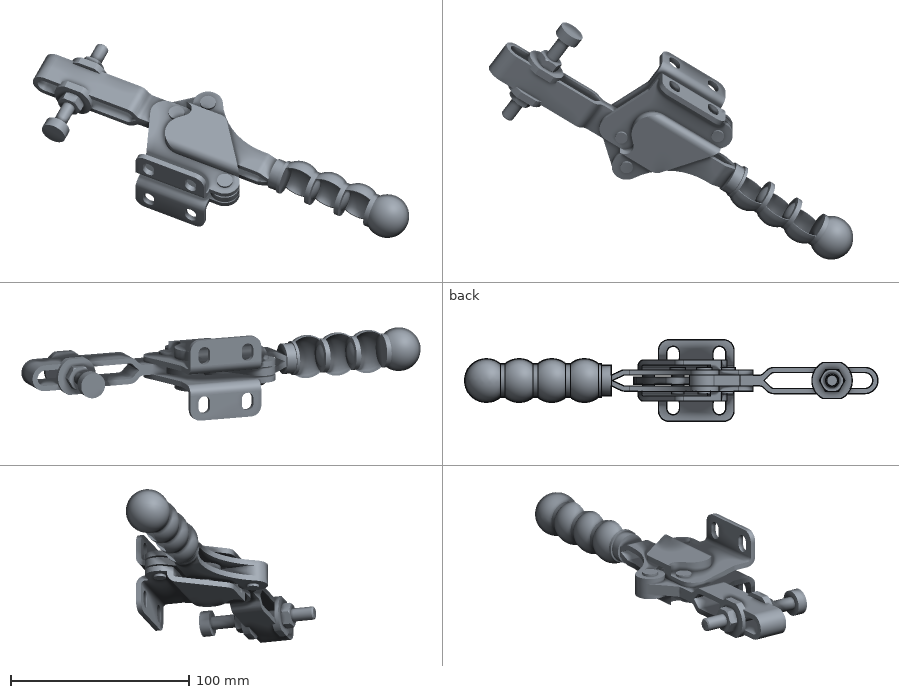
import cadquery as cq
import math


SHEET = 3.0
HALF_GAP = SHEET
PLATE_OUTER = HALF_GAP + SHEET
LUG_RADIUS = 8.3
RIVET_RADIUS = 3.5
RIVET_HEAD_RADIUS = 4.5
RIVET_PROTRUSION = 1.5
RIVET_HALF_LENGTH = PLATE_OUTER + RIVET_PROTRUSION

BAR_BASE_RIVET = (84.5, 46.8)
BAR_HANDLE_RIVET = (97.5, 60.8)
LINK_BASE_RIVET = (128.7, 15.8)
LINK_HANDLE_RIVET = (112.2, 37.8)

FLANGE_LEFT = 80.7
FLANGE_RIGHT = 123.1
FLANGE_HALF_WIDTH = 23.0
FLANGE_CORNER = 6.0
FLANGE_BEND_OUTER = 5.3
SLOT_SPACING = 26.0
SLOT_OFFSET = 14.1
SLOT_WIDTH = 7.0
SLOT_LENGTH = 10.0
BASE_TOP = 53.0
BASE_TOP_LEFT = 66.3
BASE_TOP_RIGHT = 112.0
BASE_LEFT_KNEE = 14.4
BASE_LEFT_CORNER = 8.3
BASE_RIGHT_CORNER = 5.8
BULGE_OUTER = 11.5
BULGE_BEND = 4.2
BULGE_CENTRE = (96.2, 33.5)
BULGE_RADIUS = 11.5
RELIEF_RADIUS = 4.9
RELIEF_CENTRE_Y = 48.2

BAR_BOTTOM = 37.0
BAR_TOP = 54.7
LOOP_RADIUS = 7.5
BAR_BEND_ANGLE = math.radians(45)
BAR_BEND_START = 60.8
BAR_BEND_END = BAR_BEND_START + (LOOP_RADIUS - SHEET) / math.tan(BAR_BEND_ANGLE)
BAR_OUTWARD_BEND = 6.0
BAR_INWARD_BEND = 4.0
BAR_SHOULDER = 77.5
SHOULDER_ROUNDING = 0.2
LOBE_CENTRE = (91.8, 39.5)
LOBE_RADIUS = 11.5

SPINDLE_X = 25.7
SPINDLE_RADIUS = 3.7
SPINDLE_TOP = 75.0
TIP_CHAMFER = 0.7
HEAD_BOTTOM = 9.3
HEAD_HEIGHT = 5.8
HEAD_RADIUS = 7.2
NUT_CORNERS = 14.4
NUT_HEIGHT = 5.0
NUT_CHAMFER = 0.7
WASHER_RADIUS = 11.4
WASHER_HALF_WIDTH = 10.2
WASHER_THICKNESS = 2.3
WASHER_LIP = 1.9

LINK_HALF_THICKNESS = 2.0

HANDLE_BOTTOM = 29.5
HANDLE_TOP = 43.5
HANDLE_NECK_RADIUS = 39.0
HANDLE_BEND_START = 143.0
HANDLE_BEND_OUTER = 4.9
HANDLE_STRAIGHT_END = 141.0

GRIP_START = 149.5
GRIP_Y = (HANDLE_BOTTOM + HANDLE_TOP) / 2
COLLAR_END = 155.1
COLLAR_RADIUS = 8.5
NECK_RADIUS = 9.5
BALL_RADIUS = 12.3
BALL_PITCH = 18.3
END_BALL_X = 219.5
FINGER_BALLS = 3
SHELL_WALL = 0.7
HALF_OPENING = math.sqrt(BALL_RADIUS**2 - NECK_RADIUS**2)


def disc(centre, radius, z_from, z_to):
    """Cylinder along Z between two heights."""
    return cq.Workplane("XY", origin=(*centre, z_from)).circle(radius).extrude(z_to - z_from)


def box(x_range, y_range, z_range):
    """Box given by its lower and upper limits along each axis."""
    size = [high - low for low, high in (x_range, y_range, z_range)]
    return cq.Workplane("XY", origin=(x_range[0], y_range[0], z_range[0])).box(*size, centered=False)


def both_sides(half):
    """Body on +Z together with its mirror image on -Z."""
    return half.union(half.mirror("XY"))


def hull_of_circles(first, first_radius, second, second_radius, z_from, z_to):
    """Plate whose outline wraps tightly around two circles."""
    dx = second[0] - first[0]
    dy = second[1] - first[1]
    heading = math.atan2(dy, dx)
    spread = math.acos((first_radius - second_radius) / math.hypot(dx, dy))

    def tangent_points(side):
        angle = heading + side * spread
        return [
            (centre[0] + radius * math.cos(angle), centre[1] + radius * math.sin(angle))
            for centre, radius in ((first, first_radius), (second, second_radius))
        ]

    left = tangent_points(1)
    right = tangent_points(-1)
    web = cq.Workplane("XY", origin=(0, 0, z_from))
    web = web.polyline([left[0], left[1], right[1], right[0]]).close().extrude(z_to - z_from)
    web = web.union(disc(first, first_radius, z_from, z_to))
    return web.union(disc(second, second_radius, z_from, z_to))


def round_edge(body, point, radius):
    """Round the edge whose middle is nearest to a point."""
    return body.edges(cq.selectors.NearestToPointSelector(point)).fillet(radius)


def rivet(centre):
    """Rivet through both sheets with a head on its +Z end."""
    shank = disc(centre, RIVET_RADIUS, -RIVET_HALF_LENGTH, RIVET_HALF_LENGTH)
    return shank.union(disc(centre, RIVET_HEAD_RADIUS, PLATE_OUTER, RIVET_HALF_LENGTH))


def base_plate_blank(z_from, z_to):
    """Side plate outline, from the mounting face to the top edge."""
    centre_x, centre_y = LINK_BASE_RIVET
    edge_x = centre_x - BASE_TOP_RIGHT
    edge_y = BASE_TOP - centre_y
    tangent = math.atan2(edge_y, -edge_x) - math.acos(LUG_RADIUS / math.hypot(edge_x, edge_y))
    lug_start = (centre_x + LUG_RADIUS * math.cos(tangent), centre_y + LUG_RADIUS * math.sin(tangent))
    lug_bottom = centre_y - LUG_RADIUS
    return (
        cq.Workplane("XY", origin=(0, 0, z_from))
        .moveTo(FLANGE_LEFT, 0)
        .lineTo(FLANGE_LEFT, BASE_LEFT_KNEE)
        .lineTo(BASE_TOP_LEFT, BASE_TOP)
        .lineTo(BASE_TOP_RIGHT, BASE_TOP)
        .lineTo(*lug_start)
        .threePointArc((centre_x + LUG_RADIUS, centre_y), (centre_x, lug_bottom))
        .lineTo(FLANGE_RIGHT, lug_bottom)
        .lineTo(FLANGE_RIGHT, 0)
        .close()
        .extrude(z_to - z_from)
    )


def rounded_base_plate(z_from, z_to):
    """Side plate blank with its two top corners rounded."""
    middle = (z_from + z_to) / 2
    plate = base_plate_blank(z_from, z_to)
    for corner_x, radius in ((BASE_TOP_LEFT, BASE_LEFT_CORNER), (BASE_TOP_RIGHT, BASE_RIGHT_CORNER)):
        plate = round_edge(plate, (corner_x, BASE_TOP, middle), radius)
    return plate


def bulge_region(inset, z_to):
    """Area right of the bulge's curved left wall, moved inwards by inset, up to a height."""
    diagonal = math.sqrt(0.5)
    big_x, big_y = BULGE_CENTRE
    big = BULGE_RADIUS - inset
    small = RELIEF_RADIUS + inset
    relief_x = big_x - (BULGE_RADIUS + RELIEF_RADIUS) / diagonal + RELIEF_CENTRE_Y - big_y
    top_rise = BASE_TOP - RELIEF_CENTRE_Y
    top_x = relief_x + math.sqrt(small**2 - top_rise**2)
    far_right = LINK_BASE_RIVET[0] + LUG_RADIUS
    region = (
        cq.Workplane("XY")
        .moveTo(top_x, BASE_TOP)
        .threePointArc(
            (relief_x + small, RELIEF_CENTRE_Y),
            (relief_x + small * diagonal, RELIEF_CENTRE_Y - small * diagonal),
        )
        .lineTo(big_x - big * diagonal, big_y + big * diagonal)
        .threePointArc((big_x - big, big_y), (big_x, big_y - big))
        .lineTo(far_right, big_y - big)
        .lineTo(far_right, BASE_TOP)
        .close()
        .extrude(z_to)
    )
    rounding = BULGE_BEND - inset
    tunnel = box((0, far_right), (big_y - big, BASE_TOP), (0, z_to)).edges("<Y and >Z").fillet(rounding)
    return region.intersect(tunnel)


def flange():
    """Mounting flange with rounded outer corners and two slots."""
    middle_x = (FLANGE_LEFT + FLANGE_RIGHT) / 2
    plate = box((FLANGE_LEFT, FLANGE_RIGHT), (0, SHEET), (HALF_GAP, FLANGE_HALF_WIDTH))
    plate = plate.edges("|Y and >Z").fillet(FLANGE_CORNER)
    slots = (
        cq.Workplane("XZ", origin=(middle_x, 0, SLOT_OFFSET))
        .rarray(SLOT_SPACING, 2.3, 2, 1)
        .slot2D(SLOT_LENGTH, SLOT_WIDTH, 90)
        .extrude(-SHEET)
    )
    return plate.cut(slots)


def make_base():
    plate = rounded_base_plate(HALF_GAP, PLATE_OUTER)
    bulge = rounded_base_plate(HALF_GAP, BULGE_OUTER).intersect(bulge_region(0, BULGE_OUTER))
    side = plate.union(bulge).cut(bulge_region(SHEET, BULGE_OUTER - SHEET))
    side = side.union(flange())
    flange_middle = (FLANGE_LEFT + FLANGE_RIGHT) / 2
    side = round_edge(side, (flange_middle, SHEET, PLATE_OUTER), FLANGE_BEND_OUTER - SHEET)
    side = round_edge(side, (flange_middle, 0, HALF_GAP), FLANGE_BEND_OUTER)
    return both_sides(side).union(rivet(BAR_BASE_RIVET)).union(rivet(LINK_BASE_RIVET))


def bar_strip():
    """Looped strip of constant height, with its two layers joined beyond the bends."""
    inner_radius = LOOP_RADIUS - SHEET
    height = BAR_TOP - BAR_BOTTOM
    bend_shift = SHEET * math.tan(BAR_BEND_ANGLE / 2)
    profile = cq.Workplane("XZ", origin=(0, BAR_BOTTOM, 0))
    outside = (
        profile.moveTo(LOOP_RADIUS, LOOP_RADIUS)
        .lineTo(BAR_BEND_START, LOOP_RADIUS)
        .lineTo(BAR_BEND_END, SHEET)
        .lineTo(BAR_BASE_RIVET[0], SHEET)
        .lineTo(BAR_BASE_RIVET[0], -SHEET)
        .lineTo(BAR_BEND_END, -SHEET)
        .lineTo(BAR_BEND_START, -LOOP_RADIUS)
        .lineTo(LOOP_RADIUS, -LOOP_RADIUS)
        .threePointArc((0, 0), (LOOP_RADIUS, LOOP_RADIUS))
        .close()
        .extrude(-height)
    )
    inside = (
        profile.moveTo(LOOP_RADIUS, inner_radius)
        .lineTo(BAR_BEND_START - bend_shift, inner_radius)
        .lineTo(BAR_BEND_END - bend_shift, 0)
        .lineTo(BAR_BEND_START - bend_shift, -inner_radius)
        .lineTo(LOOP_RADIUS, -inner_radius)
        .threePointArc((SHEET, 0), (LOOP_RADIUS, inner_radius))
        .close()
        .extrude(-height)
    )
    for bend_x, half_width, radius in (
        (BAR_BEND_START, LOOP_RADIUS, BAR_OUTWARD_BEND),
        (BAR_BEND_END, SHEET, BAR_INWARD_BEND),
    ):
        for side in (-1, 1):
            outside = round_edge(outside, (bend_x, BAR_BOTTOM + height / 2, side * half_width), radius)
    for side in (-1, 1):
        bend = (BAR_BEND_START - bend_shift, BAR_BOTTOM + height / 2, side * inner_radius)
        inside = round_edge(inside, bend, BAR_OUTWARD_BEND - SHEET)
    return outside.cut(inside)


def bar_linkage_plate():
    """Plate from the strip up to the handle rivet and down to the rounded lobe."""
    lug = hull_of_circles(LOBE_CENTRE, LOBE_RADIUS, BAR_HANDLE_RIVET, LUG_RADIUS, -SHEET, SHEET)
    shoulder_centre = (BAR_SHOULDER, BAR_TOP - SHOULDER_ROUNDING)
    shoulder = hull_of_circles(
        shoulder_centre, SHOULDER_ROUNDING, BAR_HANDLE_RIVET, LUG_RADIUS, -SHEET, SHEET
    )
    filler = (
        cq.Workplane("XY", origin=(0, 0, -SHEET))
        .polyline([shoulder_centre, (BAR_SHOULDER, BAR_BOTTOM), LOBE_CENTRE, BAR_HANDLE_RIVET])
        .close()
        .extrude(2 * SHEET)
    )
    return lug.union(shoulder).union(filler)


def make_bar():
    bar = bar_strip().union(bar_linkage_plate())
    return bar.cut(rivet(BAR_BASE_RIVET)).cut(rivet(BAR_HANDLE_RIVET))


def make_link():
    link = hull_of_circles(
        LINK_BASE_RIVET, LUG_RADIUS, LINK_HANDLE_RIVET, LUG_RADIUS, -LINK_HALF_THICKNESS, LINK_HALF_THICKNESS
    )
    return link.cut(rivet(LINK_BASE_RIVET)).cut(rivet(LINK_HANDLE_RIVET))


def make_handle():
    pivot_x, pivot_y = BAR_HANDLE_RIVET
    neck_y = HANDLE_TOP + HANDLE_NECK_RADIUS
    neck_reach = HANDLE_NECK_RADIUS + LUG_RADIUS
    neck_x = pivot_x + math.sqrt(neck_reach**2 - (neck_y - pivot_y) ** 2)
    share = LUG_RADIUS / neck_reach
    neck_start = (pivot_x + share * (neck_x - pivot_x), pivot_y + share * (neck_y - pivot_y))
    leg = (
        cq.Workplane("XY", origin=(0, 0, HALF_GAP))
        .polyline(
            [
                BAR_HANDLE_RIVET,
                neck_start,
                (neck_x, neck_y),
                (neck_x, HANDLE_TOP),
                (HANDLE_STRAIGHT_END, HANDLE_TOP),
                (HANDLE_STRAIGHT_END, HANDLE_BOTTOM),
                (LINK_HANDLE_RIVET[0], HANDLE_BOTTOM),
                LINK_HANDLE_RIVET,
            ]
        )
        .close()
        .extrude(SHEET)
        .cut(disc((neck_x, neck_y), HANDLE_NECK_RADIUS, HALF_GAP, PLATE_OUTER))
    )
    for centre in (BAR_HANDLE_RIVET, LINK_HANDLE_RIVET):
        leg = leg.union(disc(centre, LUG_RADIUS, HALF_GAP, PLATE_OUTER))
    bend_angle = math.atan2(PLATE_OUTER - SHEET, GRIP_START - HANDLE_BEND_START)
    inner_bend_x = HANDLE_BEND_START - SHEET * math.tan(bend_angle / 2)
    closing = (
        cq.Workplane("XZ", origin=(0, HANDLE_BOTTOM, 0))
        .polyline(
            [
                (HANDLE_STRAIGHT_END, HALF_GAP),
                (HANDLE_STRAIGHT_END, PLATE_OUTER),
                (HANDLE_BEND_START, PLATE_OUTER),
                (GRIP_START, SHEET),
                (GRIP_START, 0),
                (inner_bend_x + HALF_GAP / math.tan(bend_angle), 0),
                (inner_bend_x, HALF_GAP),
            ]
        )
        .close()
        .extrude(HANDLE_BOTTOM - HANDLE_TOP)
    )
    closing = round_edge(closing, (HANDLE_BEND_START, GRIP_Y, PLATE_OUTER), HANDLE_BEND_OUTER)
    closing = round_edge(closing, (inner_bend_x, GRIP_Y, HALF_GAP), HANDLE_BEND_OUTER - SHEET)
    handle = both_sides(leg.union(closing))
    return handle.union(rivet(BAR_HANDLE_RIVET)).union(rivet(LINK_HANDLE_RIVET))


def grip_turning(profile):
    """Solid turned about the grip axis from a closed profile of (X, radius)."""
    return profile.close().revolve(360, (0, 0), (1, 0))


def grip_sketch(x):
    """Start of a turned profile on the grip axis."""
    return cq.Workplane("XY", origin=(0, GRIP_Y, 0)).moveTo(x, 0)


def finger_ball_xs():
    return [END_BALL_X - BALL_PITCH * step for step in range(FINGER_BALLS, 0, -1)]


def grip_blank():
    """Collar, necks and complete balls."""
    profile = grip_sketch(GRIP_START)
    profile = profile.lineTo(GRIP_START, COLLAR_RADIUS).lineTo(COLLAR_END, COLLAR_RADIUS)
    profile = profile.lineTo(COLLAR_END, NECK_RADIUS)
    for x in finger_ball_xs():
        profile = profile.lineTo(x - HALF_OPENING, NECK_RADIUS)
        profile = profile.threePointArc((x, BALL_RADIUS), (x + HALF_OPENING, NECK_RADIUS))
    profile = profile.lineTo(END_BALL_X - HALF_OPENING, NECK_RADIUS)
    profile = profile.threePointArc((END_BALL_X, BALL_RADIUS), (END_BALL_X + BALL_RADIUS, 0))
    return grip_turning(profile)


def neck_domes(index):
    """Shallow domes on the neck faces beside a finger ball, where the next finger balls bulge through."""
    ball_xs = finger_ball_xs()
    x = ball_xs[index]
    distance = BALL_PITCH - HALF_OPENING
    rim = math.sqrt(BALL_RADIUS**2 - distance**2)
    tip = BALL_PITCH - BALL_RADIUS
    middle_angle = math.acos(distance / BALL_RADIUS) / 2
    middle = BALL_PITCH - BALL_RADIUS * math.cos(middle_angle)
    domes = []
    for side in (-1, 1):
        if 0 <= index + side < len(ball_xs):
            profile = grip_sketch(x + side * tip)
            profile = profile.threePointArc(
                (x + side * middle, BALL_RADIUS * math.sin(middle_angle)), (x + side * HALF_OPENING, rim)
            )
            domes.append(grip_turning(profile.lineTo(x + side * HALF_OPENING, 0)))
    return domes


def finger_space(index):
    """Room for one finger: the lower half of the ball and the hollow in its upper half."""
    x = finger_ball_xs()[index]
    inner = BALL_RADIUS - SHELL_WALL
    inner_rim = math.sqrt(inner**2 - HALF_OPENING**2)
    hollow = grip_sketch(x - HALF_OPENING).lineTo(x - HALF_OPENING, inner_rim)
    hollow = hollow.threePointArc((x, inner), (x + HALF_OPENING, inner_rim))
    space = grip_turning(hollow.lineTo(x + HALF_OPENING, 0))
    below = box(
        (x - HALF_OPENING, x + HALF_OPENING),
        (GRIP_Y - 2 * BALL_RADIUS, GRIP_Y),
        (-2 * BALL_RADIUS, 2 * BALL_RADIUS),
    )
    space = space.union(below)
    for dome in neck_domes(index):
        space = space.cut(dome)
    return space


def make_grip():
    grip = grip_blank()
    for index in range(FINGER_BALLS):
        grip = grip.cut(finger_space(index))
    return grip


def along_y(y_from):
    """Workplane at a height on the spindle axis, extruding towards +Y by negative lengths."""
    return cq.Workplane("XZ", origin=(SPINDLE_X, y_from, 0))


def make_spindle():
    spindle = along_y(HEAD_BOTTOM).circle(SPINDLE_RADIUS).extrude(HEAD_BOTTOM - SPINDLE_TOP)
    spindle = spindle.edges(">Y").chamfer(TIP_CHAMFER)
    spindle = spindle.union(along_y(HEAD_BOTTOM).circle(HEAD_RADIUS).extrude(-HEAD_HEIGHT))
    for y_from in (BAR_TOP + WASHER_THICKNESS, BAR_BOTTOM - WASHER_THICKNESS - NUT_HEIGHT):
        turned_nut = along_y(y_from).circle(NUT_CORNERS / 2).extrude(-NUT_HEIGHT).edges().chamfer(NUT_CHAMFER)
        nut = along_y(y_from).polygon(6, NUT_CORNERS).extrude(-NUT_HEIGHT).intersect(turned_nut)
        spindle = spindle.union(nut)
    return spindle


def make_washer(bar_face, outward):
    """Washer on one edge of the bar; outward is +1 on the top edge and -1 on the bottom edge."""
    lip_end = bar_face - outward * WASHER_LIP
    flange_end = bar_face + outward * WASHER_THICKNESS
    y_range = sorted((lip_end, flange_end))
    washer = along_y(y_range[0]).circle(WASHER_RADIUS).extrude(y_range[0] - y_range[1])
    x_range = (SPINDLE_X - WASHER_RADIUS, SPINDLE_X + WASHER_RADIUS)
    washer = washer.intersect(box(x_range, y_range, (-WASHER_HALF_WIDTH, WASHER_HALF_WIDTH)))
    washer = washer.cut(box(x_range, sorted((lip_end, bar_face)), (-LOOP_RADIUS, LOOP_RADIUS)))
    return washer.cut(along_y(y_range[0]).circle(SPINDLE_RADIUS).extrude(y_range[0] - y_range[1]))


base = make_base()
bar = make_bar()
link = make_link()
handle = make_handle()
grip = make_grip()
spindle = make_spindle()
washers = [make_washer(BAR_TOP, 1), make_washer(BAR_BOTTOM, -1)]

result = cq.Compound.makeCompound(
    [body.solids().val() for body in (base, bar, link, handle, grip, spindle, *washers)]
)